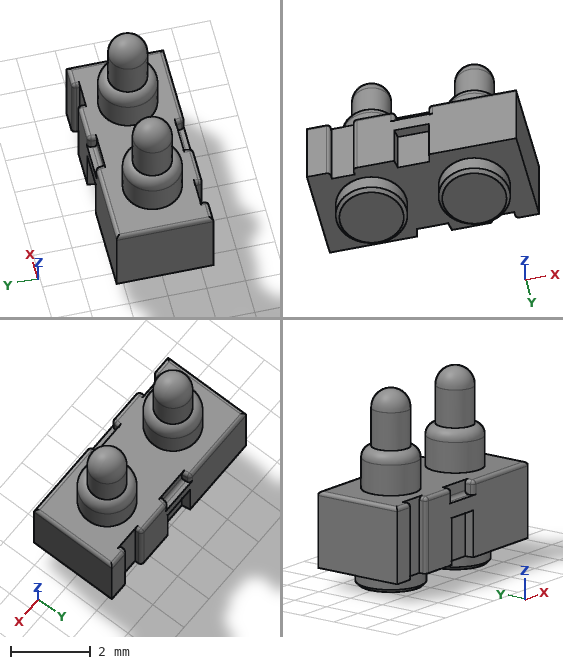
import cadquery as cq
import math

LENGTH = 5.4
WIDTH = 2.5
HEIGHT = 2.0
EDGE_RADIUS = 0.1

SLOT_START = 0.6
SLOT_WIDTH = 0.585
SLOT_DEPTH = 0.2

RECESS_INNER_WIDTH = 0.815
RECESS_DEPTH = 0.23
RECESS_DRAFT = 10.0
NOTCH_HEIGHT = 0.38
POCKET_HEIGHT = 1.225

PIN_PITCH = 2.65
FLANGE_DIAMETER = 1.8
FLANGE_HEIGHT = 0.5
FLANGE_CHAMFER = 0.09
COLLAR_DIAMETER = 1.5
COLLAR_RISE = 1.1
SHOULDER_RADIUS = 0.3
PLUNGER_DIAMETER = 1.0
PIN_TOTAL_HEIGHT = 5.1

HALF_WIDTH = WIDTH / 2
PIN_X_POSITIONS = (-PIN_PITCH / 2, PIN_PITCH / 2)
TOLERANCE = 0.0005


def both_sides(front_cutter):
    """Return the cutter and its copy turned half a turn about Z."""
    return front_cutter, front_cutter.rotate((0, 0, 0), (0, 0, 1), 180)


def make_slot_cutter():
    return (
        cq.Workplane("XY")
        .box(SLOT_WIDTH, SLOT_DEPTH, HEIGHT, centered=False)
        .translate((-LENGTH / 2 + SLOT_START, -HALF_WIDTH, 0))
    )


def make_recess_cutter(bottom, height):
    """Drafted recess in the -Y side, widening towards the side face."""
    inner = RECESS_INNER_WIDTH / 2
    outer = inner + RECESS_DEPTH * math.tan(math.radians(RECESS_DRAFT))
    back = -HALF_WIDTH + RECESS_DEPTH
    return (
        cq.Workplane("XY", origin=(0, 0, bottom))
        .polyline([(-outer, -HALF_WIDTH), (outer, -HALF_WIDTH), (inner, back), (-inner, back)])
        .close()
        .extrude(height)
    )


def make_notch_cutter():
    """Recess with its lower back edge rounded, leaving a cove along the notch floor."""
    cutter = make_recess_cutter(HEIGHT - NOTCH_HEIGHT, NOTCH_HEIGHT)
    return cutter.faces("<Z").edges(">Y").fillet(EDGE_RADIUS)


def is_side_opening_edge(edge):
    """Upright edge where a slot or notch wall meets a long side face."""
    center = edge.Center()
    on_side_face = abs(abs(center.y) - HALF_WIDTH) < TOLERANCE
    inside_ends = abs(center.x) < LENGTH / 2 - TOLERANCE
    return on_side_face and inside_ends


def is_rounded_top_edge(edge):
    """Top edge other than the back edge of a slot or notch."""
    bounds = edge.BoundingBox()
    along_x = bounds.ylen < TOLERANCE
    on_side_face = abs(abs(edge.Center().y) - HALF_WIDTH) < TOLERANCE
    return on_side_face or not along_x


def make_housing():
    body = cq.Workplane("XY").box(LENGTH, WIDTH, HEIGHT, centered=(True, True, False))
    for front_cutter in (make_slot_cutter(), make_notch_cutter()):
        for cutter in both_sides(front_cutter):
            body = body.cut(cutter)

    body = body.edges("|Z").filter(is_side_opening_edge).fillet(EDGE_RADIUS)
    body = body.faces(">Z").edges().filter(is_rounded_top_edge).fillet(EDGE_RADIUS)

    for cutter in both_sides(make_recess_cutter(0, POCKET_HEIGHT)):
        body = body.cut(cutter)

    for x in PIN_X_POSITIONS:
        hole = cq.Workplane("XY").center(x, 0).circle(COLLAR_DIAMETER / 2).extrude(HEIGHT)
        body = body.cut(hole)
    return body


def make_pin(x):
    """Flange below the housing, collar through it and round-tipped plunger on top."""
    flange_radius = FLANGE_DIAMETER / 2
    collar_radius = COLLAR_DIAMETER / 2
    plunger_radius = PLUNGER_DIAMETER / 2
    collar_top = HEIGHT + COLLAR_RISE
    tip = PIN_TOTAL_HEIGHT - FLANGE_HEIGHT
    arc_center_radius = collar_radius - SHOULDER_RADIUS
    shoulder_height = math.sqrt(SHOULDER_RADIUS**2 - (plunger_radius - arc_center_radius) ** 2)
    arc_middle = math.sqrt(0.5)
    dome_base = tip - plunger_radius
    profile = (
        cq.Workplane("XZ")
        .moveTo(0, -FLANGE_HEIGHT)
        .lineTo(flange_radius - FLANGE_CHAMFER, -FLANGE_HEIGHT)
        .lineTo(flange_radius, -FLANGE_HEIGHT + FLANGE_CHAMFER)
        .lineTo(flange_radius, 0)
        .lineTo(collar_radius, 0)
        .lineTo(collar_radius, collar_top - shoulder_height)
        .tangentArcPoint((plunger_radius, collar_top), relative=False)
        .lineTo(plunger_radius, dome_base)
        .threePointArc((plunger_radius * arc_middle, dome_base + plunger_radius * arc_middle), (0, tip))
        .close()
    )
    return profile.revolve(360, (0, 0, 0), (0, 1, 0)).translate((x, 0, 0))


housing = make_housing()
pins = [make_pin(x) for x in PIN_X_POSITIONS]

result = cq.Compound.makeCompound([housing.val(), *[pin.val() for pin in pins]])